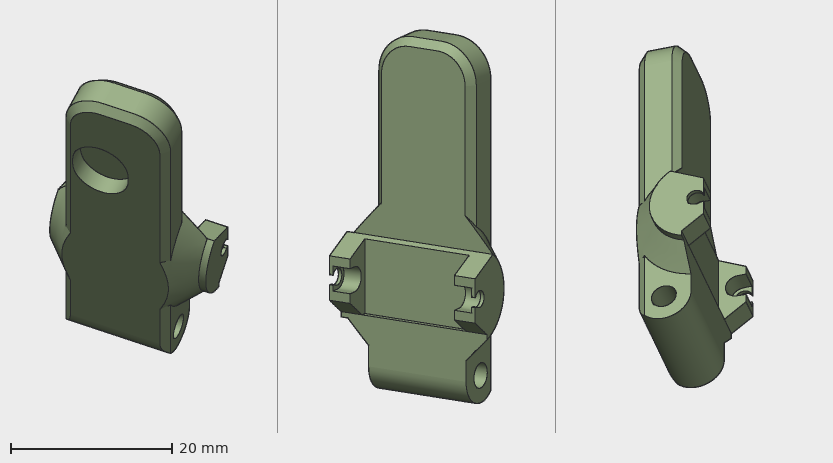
import cadquery as cq
import math

height = 46.0
body_half_width = 7.05
handle_depth = 5.55
corner_radius = 5.0
edge_chamfer = 1.0

lug_depth = 7.05
lug_radius = lug_depth / 2
lug_hole_diameter = 3.2

pivot_y = 8.8
pivot_z = 15.0
hub_radius = 5.95
ear_thickness = 3.0
right_ear_offset = 0.95
ear_back = 9.85
ear_back_top = 17.85
ear_back_bottom = 12.15
ear_foot = 10.05
pin_diameter = 2.15
notch_height = 1.3
pin_lip_thickness = 0.5
wide_seat_diameter = 3.2
notch_drop = 0.25
saddle_depth = 6.3
left_end = -(body_half_width + ear_thickness)
right_end = body_half_width + right_ear_offset + ear_thickness
ear_shoulder = pivot_z + math.sqrt(hub_radius**2 - (pivot_y - handle_depth) ** 2)

recess_width = 7.45
recess_height = 8.4
recess_x = -2.0
recess_z = 34.0
recess_depth = 2.5


def box(x_range, y_range, z_range):
    """Axis-aligned box between the given limits."""
    size = [high - low for low, high in (x_range, y_range, z_range)]
    corner = (x_range[0], y_range[0], z_range[0])
    return cq.Workplane("XY").box(*size, centered=False).translate(corner)


def rod(diameter, y, z):
    """Cylinder along X through the whole part."""
    start = cq.Workplane("YZ", origin=(left_end, y, z))
    return start.circle(diameter / 2).extrude(right_end - left_end)


def make_handle():
    """Plate with a round-cornered top end and both faces chamfered."""
    body_x = (-body_half_width, body_half_width)
    plate = box(body_x, (0, handle_depth), (0, height))
    plate = plate.edges("|Y and >Z").fillet(corner_radius)
    plate = plate.faces(">Y").edges("not <Z").chamfer(edge_chamfer)
    return plate.faces("<Y").edges("not <Z").chamfer(edge_chamfer)


def make_lug():
    """Thicker block behind the chamfered front, up to the foot of the ears."""
    return box((-body_half_width, body_half_width), (handle_depth / 2, lug_depth), (0, ear_foot))


def make_hubs():
    """Two 45 degree cones back to back, clipped to the side profile of the ears."""
    cone_base_radius = hub_radius - left_end
    right_cone_end = right_end - right_ear_offset
    cones = (
        cq.Workplane("XY")
        .moveTo(left_end, 0)
        .lineTo(left_end, hub_radius)
        .lineTo(0, cone_base_radius)
        .lineTo(right_cone_end, hub_radius)
        .lineTo(right_end, hub_radius)
        .lineTo(right_end, 0)
        .close()
        .revolve(360, (0, 0, 0), (1, 0, 0))
        .translate((0, pivot_y, pivot_z))
    )
    side_profile = (
        cq.Workplane("YZ", origin=(left_end, 0, 0))
        .polyline(
            [
                (0, 0),
                (lug_depth, 0),
                (lug_depth, ear_foot),
                (ear_back, ear_back_bottom),
                (ear_back, ear_back_top),
                (handle_depth, ear_shoulder),
                (handle_depth, height),
                (0, height),
            ]
        )
        .close()
        .extrude(right_end - left_end)
    )
    return cones.intersect(side_profile)


def make_lug_envelope():
    """Half-round lower end that trims everything near the hinge hole."""
    hinge_x = (left_end, right_end)
    envelope = box(hinge_x, (0, ear_back), (lug_radius, height))
    return envelope.union(rod(lug_depth, lug_radius, lug_radius))


def make_saddle():
    """Space between the ears."""
    return box(
        (-body_half_width, body_half_width + right_ear_offset),
        (saddle_depth, ear_back),
        (ear_foot, height),
    )


def make_pin_notch():
    """Pin seat through both ears, open to the back and wider behind an outer lip."""
    notch_z = pivot_z - notch_drop
    opening = box(
        (left_end, right_end),
        (pivot_y, ear_back),
        (notch_z - notch_height / 2, notch_z + notch_height / 2),
    )
    wide_x = (left_end + pin_lip_thickness, right_end - pin_lip_thickness)
    wide_radius = wide_seat_diameter / 2
    wide_seat = (
        cq.Workplane("YZ", origin=(wide_x[0], pivot_y, pivot_z))
        .circle(wide_radius)
        .extrude(wide_x[1] - wide_x[0])
    )
    wide_opening = box(wide_x, (pivot_y, ear_back), (pivot_z - wide_radius, pivot_z + wide_radius))
    seat = rod(pin_diameter, pivot_y, pivot_z).union(opening)
    return seat.union(wide_seat).union(wide_opening)


def make_recess():
    """Upright round-ended pocket."""
    return (
        cq.Workplane("XZ", origin=(recess_x, 0, recess_z))
        .slot2D(recess_height, recess_width, 90)
        .extrude(-recess_depth)
    )


result = make_handle().union(make_lug()).union(make_hubs())
result = result.intersect(make_lug_envelope())
result = result.cut(make_saddle())
result = result.cut(make_pin_notch())
result = result.cut(make_recess())
result = result.cut(rod(lug_hole_diameter, lug_radius, lug_radius))